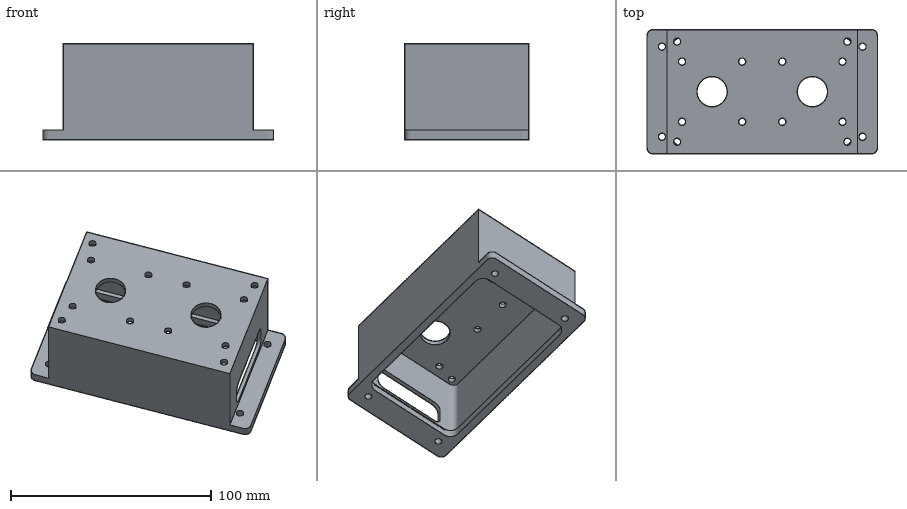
import cadquery as cq

flange_length = 115.0
depth = 62.0
height = 48.0
flange_thickness = 5.0
flange_corner_radius = 3.0

box_length = 95.0
wall_thickness = 2.0
cavity_corner_radius = 3.0
top_thickness = 3.0

opening_length = 90.0
opening_depth = 54.0
opening_corner_radius = 5.0

screw_diameter = 3.5
port_diameter = 15.0
port_spacing = 50.0
port_screw_pitch = 30.0
lid_screw_pitch_x = 85.0
lid_screw_pitch_y = 50.0
flange_screw_pitch_x = 100.0
flange_screw_pitch_y = 45.0

slot_width = 40.0
slot_height = 15.0
slot_bottom = 7.5
slot_corner_radius = 4.0


def make_flange():
    return (
        cq.Workplane("XY")
        .box(flange_length, depth, flange_thickness, centered=(True, True, False))
        .edges("|Z")
        .fillet(flange_corner_radius)
    )


def make_box():
    box_height = height - flange_thickness
    shell = (
        cq.Workplane("XY", origin=(0, 0, flange_thickness))
        .box(box_length, depth, box_height, centered=(True, True, False))
    )
    cavity = (
        cq.Workplane("XY", origin=(0, 0, flange_thickness))
        .box(
            box_length - 2 * wall_thickness,
            depth - 2 * wall_thickness,
            box_height - top_thickness,
            centered=(True, True, False),
        )
        .edges("|Z")
        .fillet(cavity_corner_radius)
    )
    return shell.cut(cavity)


def make_flange_opening():
    return (
        cq.Workplane("XY")
        .box(opening_length, opening_depth, flange_thickness, centered=(True, True, False))
        .edges("|Z")
        .fillet(opening_corner_radius)
    )


def make_cable_slot():
    return (
        cq.Workplane("XY", origin=(-box_length / 2, 0, slot_bottom))
        .box(2 * wall_thickness, slot_width, slot_height, centered=(True, True, False))
        .edges("|X")
        .fillet(slot_corner_radius)
    )


def corner_holes(pitch_x, pitch_y, bottom, center_x=0.0):
    """Vertical screw holes at the corners of a rectangle, rising from the bottom level."""
    return (
        cq.Workplane("XY", origin=(center_x, 0, bottom))
        .rect(pitch_x, pitch_y, forConstruction=True)
        .vertices()
        .circle(screw_diameter / 2)
        .extrude(height)
    )


def make_top_holes():
    """Ports and screw holes, stopping above the flange."""
    holes = corner_holes(lid_screw_pitch_x, lid_screw_pitch_y, flange_thickness)
    for port_x in (-port_spacing / 2, port_spacing / 2):
        port = (
            cq.Workplane("XY", origin=(port_x, 0, flange_thickness))
            .circle(port_diameter / 2)
            .extrude(height)
        )
        port_screws = corner_holes(port_screw_pitch, port_screw_pitch, flange_thickness, port_x)
        holes = holes.union(port).union(port_screws)
    return holes


result = (
    make_flange()
    .union(make_box())
    .cut(make_flange_opening())
    .cut(make_cable_slot())
    .cut(corner_holes(flange_screw_pitch_x, flange_screw_pitch_y, 0))
    .cut(make_top_holes())
)